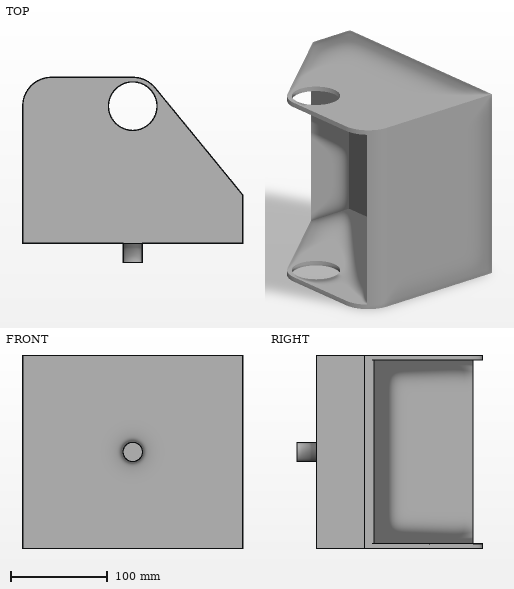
import cadquery as cq
import math

width = 228.0
depth = 172.0
height = 200.0
plate_thickness = 5.0
wall_thickness = 8.0
right_side_depth = 50.0
corner_radius = 30.0
hole_diameter = 50.0

pin_diameter = 20.0
pin_length = 20.0

corner_center_y = depth - corner_radius
left_corner_x = corner_radius
hole_x = width / 2


def corner_point(center_x, angle):
    """Point on the rounded corner around center_x, angle measured from +X."""
    return (
        center_x + corner_radius * math.cos(angle),
        corner_center_y + corner_radius * math.sin(angle),
    )


def slope_tangent_angle():
    """Angle around the hole centre where the slope meets the rounded corner."""
    run = width - hole_x
    rise = right_side_depth - corner_center_y
    return math.atan2(rise, run) + math.acos(corner_radius / math.hypot(run, rise))


def make_body():
    """Solid block with a sloped side and two rounded back corners."""
    tangent_angle = slope_tangent_angle()
    middle_angle = (tangent_angle + math.pi / 2) / 2
    return (
        cq.Workplane("XY")
        .lineTo(width, 0)
        .lineTo(width, right_side_depth)
        .lineTo(*corner_point(hole_x, tangent_angle))
        .threePointArc(corner_point(hole_x, middle_angle), (hole_x, depth))
        .lineTo(left_corner_x, depth)
        .threePointArc(corner_point(left_corner_x, 3 * math.pi / 4), (0, corner_center_y))
        .close()
        .extrude(height)
    )


def make_cavity():
    """Rectangular space between the plates, open at the back and the slope."""
    return cq.Workplane("XY").box(
        width - 2 * wall_thickness,
        depth - wall_thickness,
        height - 2 * plate_thickness,
        centered=False,
    ).translate((wall_thickness, wall_thickness, plate_thickness))


def make_hole():
    """Round opening through both plates."""
    return (
        cq.Workplane("XY")
        .center(hole_x, corner_center_y)
        .circle(hole_diameter / 2)
        .extrude(height)
    )


def make_pin():
    """Pin standing out from the middle of the front wall."""
    return (
        cq.Workplane("XZ")
        .center(width / 2, height / 2)
        .circle(pin_diameter / 2)
        .extrude(pin_length)
    )


housing = make_body().cut(make_cavity()).cut(make_hole())
result = housing.union(make_pin())